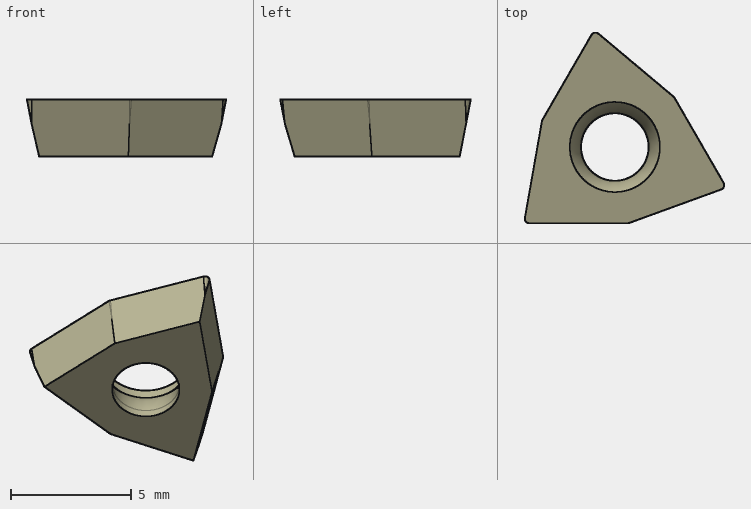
import cadquery as cq
import math

INSCRIBED_DIAMETER = 6.35
THICKNESS = 2.38
NOSE_RADIUS = 0.2
CLEARANCE_ANGLE = 11.0
CORNER_ANGLE = 80.0
CORNER_COUNT = 3
FIRST_CORNER_DIRECTION = -20.0

SEAT_DIAMETER = 3.75
BORE_DIAMETER = 2.8
SEAT_DEPTH = 0.5
THROAT_RADIUS = 2.5

CORNER_SPACING = 360.0 / CORNER_COUNT
CORNER_DIRECTIONS = [FIRST_CORNER_DIRECTION + i * CORNER_SPACING for i in range(CORNER_COUNT)]
INSCRIBED_RADIUS = INSCRIBED_DIAMETER / 2
HALF_CORNER_ANGLE = CORNER_ANGLE / 2
FLANK_NORMAL_ANGLE = 90.0 - HALF_CORNER_ANGLE
HALF_BLUNT_TURN = CORNER_SPACING / 2 - FLANK_NORMAL_ANGLE


def polar(radius, degrees):
    angle = math.radians(degrees)
    return (radius * math.cos(angle), radius * math.sin(angle))


def trigon_outline(inscribed_radius):
    """Sharp-cornered trigon, cutting and blunt corners in turn."""
    cutting_reach = inscribed_radius / math.sin(math.radians(HALF_CORNER_ANGLE))
    blunt_reach = inscribed_radius / math.cos(math.radians(HALF_BLUNT_TURN))
    points = []
    for direction in CORNER_DIRECTIONS:
        points.append(polar(cutting_reach, direction))
        points.append(polar(blunt_reach, direction + CORNER_SPACING / 2))
    return points


def insert_body():
    """Drafted body: sharp edges below, opening above into cones that reach the nose radius at the top."""
    nose_depth = NOSE_RADIUS / math.tan(math.radians(CLEARANCE_ANGLE))
    nose_start = THICKNESS - nose_depth
    outline = trigon_outline(INSCRIBED_RADIUS - NOSE_RADIUS)
    nose_plane = cq.Workplane("XY").workplane(offset=nose_start)
    upper = nose_plane.polyline(outline).close().extrude(nose_depth, taper=-CLEARANCE_ANGLE)
    lower = nose_plane.polyline(outline).close().extrude(-nose_start, taper=CLEARANCE_ANGLE)
    return upper.union(lower).clean()


def screw_hole():
    """Revolved hole whose convex throat runs tangent into the bore."""
    seat_radius = SEAT_DIAMETER / 2
    bore_radius = BORE_DIAMETER / 2
    throat_center_x = bore_radius + THROAT_RADIUS
    throat_angle = math.acos((throat_center_x - seat_radius) / THROAT_RADIUS)
    throat_top = THICKNESS - SEAT_DEPTH
    throat_bottom = throat_top - THROAT_RADIUS * math.sin(throat_angle)
    throat_middle = (
        throat_center_x - THROAT_RADIUS * math.cos(throat_angle / 2),
        throat_bottom + THROAT_RADIUS * math.sin(throat_angle / 2),
    )
    profile = (
        cq.Workplane("XZ")
        .lineTo(bore_radius, 0)
        .lineTo(bore_radius, throat_bottom)
        .threePointArc(throat_middle, (seat_radius, throat_top))
        .lineTo(seat_radius, THICKNESS)
        .lineTo(0, THICKNESS)
        .close()
    )
    return profile.revolve(360, (0, 0), (0, 1))


result = insert_body().cut(screw_hole())